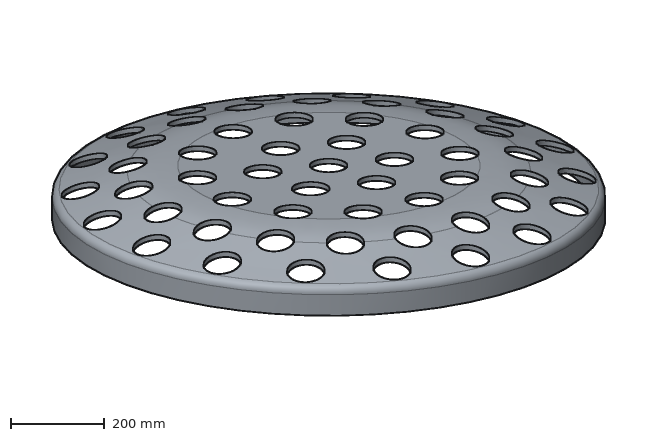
import cadquery as cq
import math

outer_radius = 590.0
height = 120.0
wall = 12.0

flat_radius = 322.0
shoulder_end_radius = 430.0
rim_fillet = 20.0
slope = math.radians(14.8)

hole_diameter = 80.0
hole_rings = [
    (145.0, 6, 0),
    (289.0, 12, 0),
    (430.0, 18, 0),
    (531.0, 18, 90),
]

shoulder_radius = (shoulder_end_radius - flat_radius) / math.sin(slope)
shoulder_centre_z = height - shoulder_radius
rim_centre_r = outer_radius - rim_fillet
cone_end_r = rim_centre_r + rim_fillet * math.sin(slope)
shoulder_end_z = shoulder_centre_z + shoulder_radius * math.cos(slope)
cone_end_z = shoulder_end_z - (cone_end_r - shoulder_end_radius) * math.tan(slope)
rim_centre_z = cone_end_z - rim_fillet * math.cos(slope)


def arc_point(centre_r, centre_z, radius, tilt):
    """Point on an arc, at an angle measured from vertical towards the rim."""
    return centre_r + radius * math.sin(tilt), centre_z + radius * math.cos(tilt)


def dome(inset):
    """Solid dome whose surface lies a constant distance inside the outer one."""
    shoulder = (flat_radius, shoulder_centre_z, shoulder_radius - inset)
    rim = (rim_centre_r, rim_centre_z, rim_fillet - inset)
    rim_middle = (slope + math.pi / 2) / 2
    return (
        cq.Workplane("XZ")
        .lineTo(0, height - inset)
        .lineTo(flat_radius, height - inset)
        .threePointArc(arc_point(*shoulder, slope / 2), arc_point(*shoulder, slope))
        .lineTo(*arc_point(*rim, slope))
        .threePointArc(arc_point(*rim, rim_middle), arc_point(*rim, math.pi / 2))
        .lineTo(outer_radius - inset, 0)
        .close()
        .revolve(360, (0, 0, 0), (0, 1, 0))
    )


shell = dome(0).cut(dome(wall))

holes = cq.Workplane("XY").circle(hole_diameter / 2).extrude(height)
for ring_radius, count, start_angle in hole_rings:
    ring = (
        cq.Workplane("XY")
        .polarArray(ring_radius, start_angle, 360, count)
        .circle(hole_diameter / 2)
        .extrude(height)
    )
    holes = holes.add(ring)

result = shell
for hole in holes.vals():
    result = result.cut(cq.Workplane(hole))